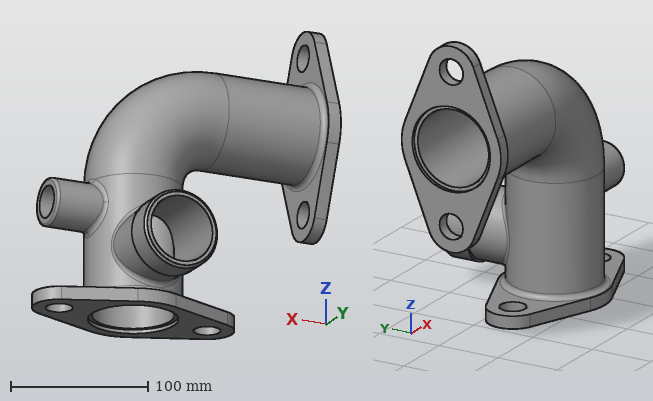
import cadquery as cq
import math

pipe_diameter = 72.0
pipe_radius = pipe_diameter / 2
bore_diameter = 60.0
bend_radius = 60.0
inlet_height = 160.0
inlet_reach = 148.0

flange_thickness = 10.0
flange_centre_radius = 42.0
flange_lug_radius = 20.0
bolt_spacing = 120.0
bolt_hole_diameter = 20.0
seat_diameter = 66.0
seat_depth = 3.0

small_diameter = 36.0
small_bore = 24.0
small_height = 80.0
small_reach = 70.0
small_end_fillet = 2.0

large_diameter = 56.0
large_bore = 50.0
large_height = 46.0
large_reach = 80.0
collar_diameter = 59.5
collar_length = 22.0
collar_chamfer = 2.0

flange_fillet = 4.0
branch_fillet = 3.8

margin = 0.2

bottom_plane = cq.Plane.XY()
inlet_plane = cq.Plane(origin=(-inlet_reach, 0, inlet_height), xDir=(0, 0, 1), normal=(1, 0, 0))
small_plane = cq.Plane(origin=(0, 0, small_height), xDir=(0, 1, 0), normal=(1, 0, 0))
large_plane = cq.Plane(origin=(0, 0, large_height), xDir=(-1, 0, 0), normal=(0, 1, 0))


def cylinder(plane, diameter, length, start=0.0):
    """Cylinder along the plane normal, from start over the given length."""
    return cq.Workplane(plane).workplane(offset=start).circle(diameter / 2).extrude(length)


def swept_pipe(diameter):
    """Solid round bar along the centre line of the main pipe."""
    bend_start = inlet_height - bend_radius
    bend_middle = bend_radius * math.sqrt(0.5)
    path = (
        cq.Workplane("XZ")
        .lineTo(0, bend_start)
        .threePointArc(
            (bend_middle - bend_radius, bend_start + bend_middle),
            (-bend_radius, inlet_height),
        )
        .lineTo(-inlet_reach, inlet_height)
    )
    return cq.Workplane(bottom_plane).circle(diameter / 2).sweep(path)


def flange(plane):
    """Plate of two bolt lugs joined by tangent lines to a round middle."""
    lug_offset = bolt_spacing / 2
    tangent_cos = (flange_centre_radius - flange_lug_radius) / lug_offset
    tangent_sin = math.sqrt(1 - tangent_cos**2)
    centre_u = flange_centre_radius * tangent_cos
    centre_v = flange_centre_radius * tangent_sin
    lug_u = lug_offset + flange_lug_radius * tangent_cos
    lug_v = flange_lug_radius * tangent_sin
    lug_tip = lug_offset + flange_lug_radius
    return (
        cq.Workplane(plane)
        .moveTo(centre_u, centre_v)
        .threePointArc((0, flange_centre_radius), (-centre_u, centre_v))
        .lineTo(-lug_u, lug_v)
        .threePointArc((-lug_tip, 0), (-lug_u, -lug_v))
        .lineTo(-centre_u, -centre_v)
        .threePointArc((0, -flange_centre_radius), (centre_u, -centre_v))
        .lineTo(lug_u, -lug_v)
        .threePointArc((lug_tip, 0), (lug_u, lug_v))
        .close()
        .extrude(flange_thickness)
        .pushPoints([(lug_offset, 0), (-lug_offset, 0)])
        .circle(bolt_hole_diameter / 2)
        .cutThruAll()
    )


def edges_within(body, low, high):
    """Edges lying wholly inside the box between two corners."""
    return body.edges(cq.selectors.BoxSelector(low, high, boundingbox=True))


body = swept_pipe(pipe_diameter)
small_branch = cylinder(small_plane, small_diameter, small_reach)
body = body.union(small_branch.faces(">X").edges().fillet(small_end_fillet))
body = body.union(cylinder(large_plane, large_diameter, large_reach))
reach = pipe_radius + margin
small_half = small_diameter / 2 + margin
large_half = large_diameter / 2 + margin
body = edges_within(
    body,
    (margin, -small_half, small_height - small_half),
    (reach, small_half, small_height + small_half),
).fillet(branch_fillet)
body = edges_within(
    body,
    (-large_half, margin, large_height - large_half),
    (large_half, reach, large_height + large_half),
).fillet(branch_fillet)

collar = cylinder(large_plane, collar_diameter, collar_length, large_reach - collar_length)
body = body.union(collar.faces(">Y").edges().chamfer(collar_chamfer))

for plane in (bottom_plane, inlet_plane):
    body = body.union(flange(plane))
body = edges_within(
    body,
    (-reach, -reach, flange_thickness - margin),
    (reach, reach, flange_thickness + margin),
).fillet(flange_fillet)
inlet_joint = flange_thickness - inlet_reach
body = edges_within(
    body,
    (inlet_joint - margin, -reach, inlet_height - reach),
    (inlet_joint + margin, reach, inlet_height + reach),
).fillet(flange_fillet)

body = body.cut(swept_pipe(bore_diameter))
body = body.cut(cylinder(small_plane, small_bore, small_reach))
body = body.cut(cylinder(large_plane, large_bore, large_reach))
for plane in (bottom_plane, inlet_plane):
    body = body.cut(cylinder(plane, seat_diameter, seat_depth))

result = body